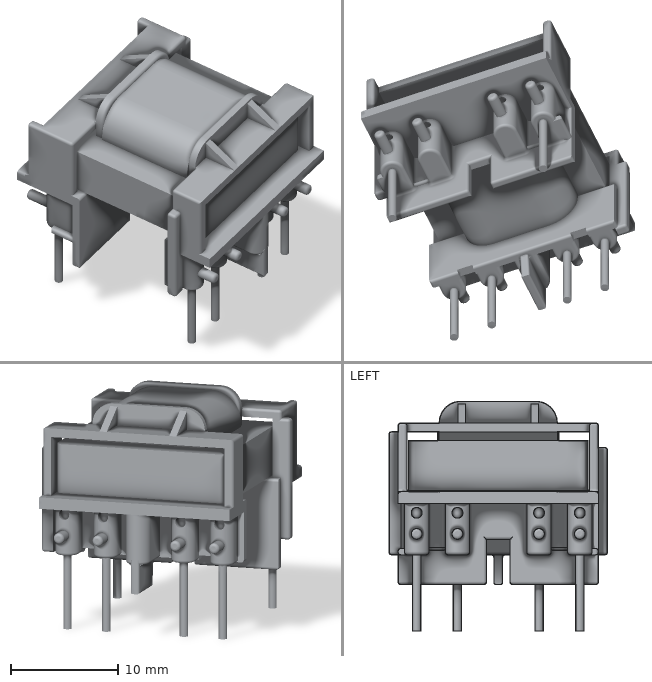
import cadquery as cq


EDGE_R = 0.26
PICK = 0.02

LEFT_END, RIGHT_END = -10.92, 10.92
LEFT_TOWER_END, RIGHT_TOWER_END = -9.77, 9.85
LEFT_ROOF_END = -8.43
FLANGE_T = 0.83
LEFT_FLANGE, RIGHT_FLANGE = -4.65, 6.62
LEFT_INNER, RIGHT_INNER = LEFT_FLANGE + FLANGE_T, RIGHT_FLANGE - FLANGE_T
MID_X = (LEFT_FLANGE + RIGHT_FLANGE) / 2

BODY_HALF = 9.33
TOWER_WALL = 0.83
TOWER_INNER_HALF = BODY_HALF - TOWER_WALL
FLANGE_HALF = 5.5

FLANGE_TOP = 21.43
TOWER_TOP, ROOF_T = 19.4, 0.83
FLANGE_R = FLANGE_TOP - TOWER_TOP
SHELF_TOP, SHELF_T = 13.0, 1.1
SHELF_BOTTOM = SHELF_TOP - SHELF_T
BOSS_BOTTOM = 7.12
SKIRT_BOTTOM = 4.35

WINDING_HALF = 5.65
WINDING_BOTTOM, WINDING_TOP = 9.72, 21.13
WINDING_R = 2.9
CORE_LENGTH, CORE_HALF = 16.0, 8.37
CORE_BOTTOM, CORE_TOP = 13.1, 17.76
CORE_R = 0.65

PIN_R = 0.4
PIN_PITCH = 3.8
PIN_ROWS = [-2 * PIN_PITCH, -PIN_PITCH, PIN_PITCH, 2 * PIN_PITCH]
LEFT_PIN_X, RIGHT_PIN_X = -7.39, 7.7
BOSS_R = 1.14
PEG_R, PEG_Z = 0.5, 9.07
LEFT_PEG_END, RIGHT_PEG_END = -10.77, 10.5
WIRE_HOLE_R, WIRE_HOLE_Z = 0.5, 11.03

GUIDE_TOP = 7.71
GUIDE_LENGTH = 2.51
BEAD_BOTTOM = 7.54
BEAD_TOP = BEAD_BOTTOM + EDGE_R

SLOT_HALF, SLOT_TOP = 1.1, 8.55
KEY_BOSS_X = 9.72
FIN_T, FIN_TOP_X, FIN_FOOT_X = 0.83, 6.2, 6.62
FIN_EDGE_R = 0.2
FIN_ROOT = 0.44

COLUMN_W, COLUMN_DEPTH = 1.0, 0.85
LEFT_COLUMN_TOP, RIGHT_COLUMN_TOP = 18.6, 17.13
GUSSET_T, GUSSET_Y, GUSSET_TOP, GUSSET_LENGTH = 0.7, 3.4, 21.2, 3.23


def block(x_ends, y_ends, z_ends):
    """Box between two end positions on each axis, given in either order."""
    spans = [sorted(ends) for ends in (x_ends, y_ends, z_ends)]
    size = [high - low for low, high in spans]
    corner = tuple(low for low, high in spans)
    return cq.Workplane("XY").box(*size, centered=False).translate(corner)


def edges_within(x_ends, y_ends, z_ends):
    """Selector for edges whose centre lies in a box, widened by the pick margin."""
    spans = [sorted(ends) for ends in (x_ends, y_ends, z_ends)]
    low_corner = tuple(low - PICK for low, high in spans)
    high_corner = tuple(high + PICK for low, high in spans)
    return cq.selectors.BoxSelector(low_corner, high_corner)


def x_side(direction):
    """Selector for what lies furthest in a direction along X."""
    return ">X" if direction > 0 else "<X"


def rod_x(x_start, x_end, y, z, radius):
    return cq.Workplane("YZ", origin=(x_start, y, z)).circle(radius).extrude(x_end - x_start)


def rod_z(x, y, z_start, z_end, radius):
    return cq.Workplane("XY", origin=(x, y, z_start)).circle(radius).extrude(z_end - z_start)


def make_core():
    x_ends = (MID_X - CORE_LENGTH / 2, MID_X + CORE_LENGTH / 2)
    core = block(x_ends, (-CORE_HALF, CORE_HALF), (CORE_BOTTOM, CORE_TOP))
    return core.edges("|Z").fillet(CORE_R)


def make_winding():
    coil = block(
        (LEFT_INNER, RIGHT_INNER), (-WINDING_HALF, WINDING_HALF), (WINDING_BOTTOM, WINDING_TOP)
    )
    return coil.edges("|X").fillet(WINDING_R)


def flange(outer_x, inward):
    """Winding cheek with round upper corners, rounded on the edge that faces the winding."""
    x_ends = (outer_x, outer_x + inward * FLANGE_T)
    cheek = block(x_ends, (-FLANGE_HALF, FLANGE_HALF), (SHELF_BOTTOM, FLANGE_TOP))
    cheek = cheek.edges("|X and >Z").fillet(FLANGE_R)
    return cheek.faces(x_side(inward)).edges("not <Z").fillet(EDGE_R)


def terminal_frame(flange_x, tower_end, shelf_end, outward, round_end):
    """Shelf carrying a tower that is open along X for the core."""
    tower = block((flange_x, tower_end), (-BODY_HALF, BODY_HALF), (SHELF_TOP, TOWER_TOP))
    rounded = f"(|X and >Z) or ({x_side(-outward)} and (not <Z))"
    if round_end:
        rounded += f" or ({x_side(outward)} and |Z)"
    tower = tower.edges(rounded).fillet(EDGE_R)
    roof_joint = block(
        (flange_x, flange_x + outward * EDGE_R),
        (-FLANGE_HALF, FLANGE_HALF),
        (TOWER_TOP - ROOF_T, TOWER_TOP),
    )
    opening = block(
        (flange_x, tower_end), (-TOWER_INNER_HALF, TOWER_INNER_HALF), (SHELF_TOP, TOWER_TOP - ROOF_T)
    )
    shelf = block((flange_x, shelf_end), (-BODY_HALF, BODY_HALF), (SHELF_BOTTOM, SHELF_TOP))
    return tower.cut(opening).union(roof_joint).union(shelf)


def free_wall_end(side):
    """End of a left tower wall beyond the roof, rounded and flared into the shelf."""
    reach = 4 * EDGE_R
    inner_y, outer_y = side * TOWER_INNER_HALF, side * BODY_HALF
    ground_end = LEFT_ROOF_END + 2 * reach
    wall = block((LEFT_TOWER_END, LEFT_ROOF_END + reach), (inner_y, outer_y), (SHELF_TOP, TOWER_TOP))
    wall = wall.edges("<X and |Z").fillet(EDGE_R)
    ground = block(
        (LEFT_TOWER_END - reach, ground_end),
        (inner_y - side * reach, outer_y + side * reach),
        (SHELF_BOTTOM, SHELF_TOP),
    )
    foot = edges_within((LEFT_TOWER_END, ground_end), (inner_y, outer_y), (SHELF_TOP, SHELF_TOP))
    wall = wall.union(ground).edges(foot).fillet(EDGE_R)
    wall = wall.faces(">Z").edges("not >X").fillet(EDGE_R)
    kept = block(
        (LEFT_TOWER_END - EDGE_R, LEFT_ROOF_END), (-BODY_HALF, BODY_HALF), (SHELF_BOTTOM, TOWER_TOP)
    )
    return wall.intersect(kept)


def left_terminal_frame():
    """Left shelf and tower, with the roof set back between the free wall ends."""
    foot_x = LEFT_TOWER_END - EDGE_R
    frame = terminal_frame(LEFT_FLANGE, LEFT_ROOF_END, foot_x, outward=-1, round_end=False)
    shelf_tip = block((LEFT_END, foot_x), (-BODY_HALF, BODY_HALF), (SHELF_BOTTOM, SHELF_TOP))
    frame = frame.union(shelf_tip.edges("|X and >Z").fillet(EDGE_R))
    for side in (-1, 1):
        frame = frame.union(free_wall_end(side))
    return frame


def skirt(outer_x, inward, bottom):
    """Full-width plate below the core that carries the bosses."""
    x_ends = (outer_x, outer_x + inward * FLANGE_T)
    plate = block(x_ends, (-BODY_HALF, BODY_HALF), (bottom, SHELF_TOP))
    return plate.edges(f"{x_side(inward)} and >Z").fillet(EDGE_R)


def boss(skirt_x, center_x, y, outward):
    """Half-round boss that grows out of the skirt, rounded underneath."""
    root_x = skirt_x - outward * FLANGE_T / 2
    neck = block((root_x, center_x), (y - BOSS_R, y + BOSS_R), (BOSS_BOTTOM, SHELF_BOTTOM))
    nose = rod_z(center_x, y, BOSS_BOTTOM, SHELF_BOTTOM, BOSS_R)
    return neck.union(nose).faces("<Z").edges().fillet(EDGE_R)


def left_skirt():
    """Left skirt with its slot, bosses, beads and wire guides."""
    plate = skirt(LEFT_FLANGE, 1, SKIRT_BOTTOM)
    slot = block((LEFT_FLANGE, LEFT_INNER), (-SLOT_HALF, SLOT_HALF), (SKIRT_BOTTOM, SLOT_TOP))
    plate = plate.cut(slot)
    slot_rim = edges_within(
        (LEFT_FLANGE, LEFT_FLANGE), (-SLOT_HALF, SLOT_HALF), (SKIRT_BOTTOM + EDGE_R, SLOT_TOP)
    )
    plate = plate.edges(slot_rim).fillet(EDGE_R)
    plate = plate.faces("<Z").edges().fillet(EDGE_R)
    for y in PIN_ROWS:
        plate = plate.union(boss(LEFT_FLANGE, LEFT_PIN_X, y, -1))
        boss_root = edges_within(
            (LEFT_FLANGE, LEFT_FLANGE), (y - BOSS_R, y + BOSS_R), (BOSS_BOTTOM, SHELF_BOTTOM)
        )
        plate = plate.edges(boss_root).edges("not >Z").fillet(EDGE_R)
    for side in (-1, 1):
        plate = plate.union(outer_guide(side)).union(boss_bead(side))
    return plate


def outer_guide(side):
    """Rounded bar along the outer flank of an outer left boss, flush with the skirt's side."""
    x_ends = (LEFT_FLANGE - GUIDE_LENGTH, LEFT_FLANGE + FLANGE_T / 2)
    bar = block(x_ends, (side * 2 * PIN_PITCH, side * BODY_HALF), (BOSS_BOTTOM, GUIDE_TOP))
    outer_face = bar.faces(">Y" if side > 0 else "<Y")
    return outer_face.edges("not >X").fillet(EDGE_R)


def boss_bead(side):
    """Bead on the left skirt between the two bosses of a pair, quarter-round underneath."""
    y_ends = (side * PIN_PITCH, side * 2 * PIN_PITCH)
    envelope = block((LEFT_FLANGE - EDGE_R, LEFT_FLANGE), y_ends, (BEAD_BOTTOM, BEAD_TOP))
    round_edge = cq.Workplane("XZ", origin=(LEFT_FLANGE, 0, BEAD_TOP)).circle(EDGE_R)
    return round_edge.extrude(2 * BODY_HALF, both=True).intersect(envelope)


def right_skirt():
    """Right skirt with its bosses, relieved between the two bosses of each pair."""
    plate = skirt(RIGHT_FLANGE, -1, BOSS_BOTTOM)
    plate = plate.faces("<Z").edges("not >X").fillet(EDGE_R)
    for side in (-1, 1):
        gap = (side * (PIN_PITCH + BOSS_R), side * (2 * PIN_PITCH - BOSS_R))
        plate = plate.cut(block((RIGHT_INNER, RIGHT_FLANGE), gap, (BOSS_BOTTOM, BEAD_BOTTOM)))
    for y in PIN_ROWS:
        plate = plate.union(boss(RIGHT_FLANGE, RIGHT_PIN_X, y, 1))
    return plate.union(boss(RIGHT_FLANGE, KEY_BOSS_X, 0, 1))


def key_fin():
    """Tapered fin under the key boss, rounded on its free edges and flared at its root."""
    half = FIN_T / 2
    end_x = KEY_BOSS_X + BOSS_R
    top = BOSS_BOTTOM + FIN_ROOT
    outline = [(FIN_TOP_X, top), (end_x, top), (end_x, SKIRT_BOTTOM), (FIN_FOOT_X, SKIRT_BOTTOM)]
    fin = cq.Workplane("XZ", origin=(0, half, 0)).polyline(outline).close().extrude(FIN_T)
    fin = fin.edges("not >Z").edges("not |Y").fillet(FIN_EDGE_R)
    bend = EDGE_R * (1 - 0.5 ** 0.5)
    flare = (
        cq.Workplane("YZ", origin=(FIN_FOOT_X, 0, 0))
        .moveTo(-half - EDGE_R, BOSS_BOTTOM)
        .threePointArc((-half - bend, BOSS_BOTTOM - bend), (-half, BOSS_BOTTOM - EDGE_R))
        .lineTo(half, BOSS_BOTTOM - EDGE_R)
        .threePointArc((half + bend, BOSS_BOTTOM - bend), (half + EDGE_R, BOSS_BOTTOM))
        .close()
        .extrude(end_x - EDGE_R - FIN_FOOT_X)
    )
    return fin.union(flare)


def column(x_start, side, top):
    """Upright bar on a side face of the body, rounded on its free edges."""
    y_ends = (side * (BODY_HALF - EDGE_R), side * (BODY_HALF + COLUMN_DEPTH))
    bar = block((x_start, x_start + COLUMN_W), y_ends, (BOSS_BOTTOM, top))
    return bar.edges("not <Y" if side > 0 else "not >Y").fillet(EDGE_R)


def gusset(flange_x, outward, y):
    """Triangular rib from the tower roof up to the flange."""
    outline = [
        (flange_x, TOWER_TOP),
        (flange_x + outward * GUSSET_LENGTH, TOWER_TOP),
        (flange_x, GUSSET_TOP),
    ]
    return cq.Workplane("XZ", origin=(0, y + GUSSET_T / 2, 0)).polyline(outline).close().extrude(GUSSET_T)


def wire_hole(pin_x, y, outward):
    """Cutter for a wire hole in a boss nose, which leaves a round post standing on the boss axis."""
    bore = rod_x(pin_x, pin_x + outward * 2 * BOSS_R, y, WIRE_HOLE_Z, WIRE_HOLE_R)
    post = rod_z(pin_x, y, BOSS_BOTTOM, SHELF_TOP, WIRE_HOLE_R)
    return bore.cut(post)


def peg(pin_x, end_x, y, outward):
    return rod_x(pin_x, end_x, y, PEG_Z, PEG_R).faces(x_side(outward)).edges().fillet(EDGE_R)


def pin(x, y):
    return rod_z(x, y, 0, SHELF_BOTTOM, PIN_R)


result = make_core().union(make_winding())
bobbin_parts = [
    flange(LEFT_FLANGE, 1),
    flange(RIGHT_FLANGE, -1),
    left_terminal_frame(),
    terminal_frame(RIGHT_FLANGE, RIGHT_TOWER_END, RIGHT_END, outward=1, round_end=True),
    left_skirt(),
    right_skirt(),
    key_fin(),
    column(LEFT_FLANGE - COLUMN_W, 1, LEFT_COLUMN_TOP),
    column(RIGHT_FLANGE, -1, RIGHT_COLUMN_TOP),
]
for gusset_y in (-GUSSET_Y, GUSSET_Y):
    bobbin_parts.append(gusset(LEFT_FLANGE, -1, gusset_y))
    bobbin_parts.append(gusset(RIGHT_FLANGE, 1, gusset_y))
for part in bobbin_parts:
    result = result.union(part)

for row_y in PIN_ROWS:
    result = result.cut(wire_hole(LEFT_PIN_X, row_y, -1)).cut(wire_hole(RIGHT_PIN_X, row_y, 1))
    result = result.union(peg(LEFT_PIN_X, LEFT_PEG_END, row_y, -1))
    result = result.union(peg(RIGHT_PIN_X, RIGHT_PEG_END, row_y, 1))
    result = result.union(pin(RIGHT_PIN_X, row_y))
for row_y in (PIN_ROWS[0], PIN_ROWS[-1]):
    result = result.union(pin(LEFT_PIN_X, row_y))